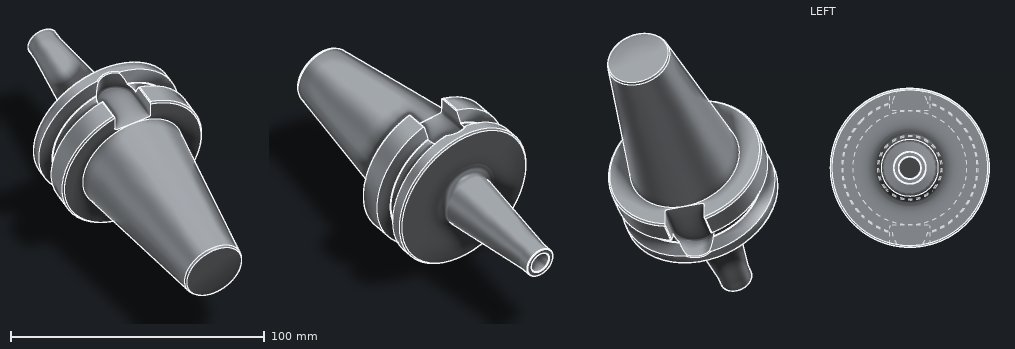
import cadquery as cq
import math

total_length = 142.4

nose_tip_diameter = 13.0
nose_tip_radius = nose_tip_diameter / 2
nose_base_radius = 11.2
nose_collar_length = 4.8
nose_chamfer = 0.3
neck_length = 1.0
root_fillet = 3.0
bore_radius = 4.3
bore_depth = 28.5
bore_chamfer = 0.3

root_pad_radius = 15.2
root_pad_height = 0.1

flange_radius = 31.5
flange_start = 50.0
flange_end = 75.0
front_chamfer = 0.7
rear_chamfer = 0.7
lip_end = 55.1
ridge_start = 65.4
groove_floor_radius = 26.5
groove_floor_width = 5.0

taper_ratio = 7 / 24
gauge_radius = 22.2
gauge_position = 77.0
shank_chamfer = 1.0

slot_width = 16.1
slot_floor_height = 22.6
slot_tip = 53.8
slot_floor_fillet = 1.0
slot_edge_chamfer = 0.4


def shank_radius(x):
    return gauge_radius - (x - gauge_position) * taper_ratio / 2


def make_body():
    pad_face = flange_start - root_pad_height
    fillet_start = pad_face - root_fillet
    fillet_center_radius = nose_base_radius + root_fillet
    fillet_mid = (
        fillet_start + root_fillet * math.sin(math.radians(45)),
        fillet_center_radius - root_fillet * math.cos(math.radians(45)),
    )
    groove_start = (lip_end + ridge_start - groove_floor_width) / 2
    groove_end = groove_start + groove_floor_width
    flank_drop = (groove_start - lip_end) / math.tan(math.radians(30))
    flank_radius = flange_radius - flank_drop
    shank_chamfer_start = total_length - shank_chamfer
    shank_end_radius = shank_radius(shank_chamfer_start)

    profile = (
        cq.Workplane("XY")
        .moveTo(0, 0)
        .lineTo(0, nose_tip_radius - nose_chamfer)
        .lineTo(nose_chamfer, nose_tip_radius)
        .lineTo(nose_collar_length, nose_tip_radius)
        .lineTo(fillet_start - neck_length, nose_base_radius)
        .lineTo(fillet_start, nose_base_radius)
        .threePointArc(fillet_mid, (pad_face, fillet_center_radius))
        .lineTo(flange_start, root_pad_radius)
        .lineTo(flange_start, flange_radius - front_chamfer)
        .lineTo(flange_start + front_chamfer, flange_radius)
        .lineTo(lip_end, flange_radius)
        .lineTo(groove_start, flank_radius)
        .lineTo(groove_start, groove_floor_radius)
        .lineTo(groove_end, groove_floor_radius)
        .lineTo(groove_end, flank_radius)
        .lineTo(ridge_start, flange_radius)
        .lineTo(flange_end - rear_chamfer, flange_radius)
        .lineTo(flange_end, flange_radius - rear_chamfer)
        .lineTo(flange_end, shank_radius(flange_end))
        .lineTo(shank_chamfer_start, shank_end_radius)
        .lineTo(total_length, shank_end_radius - shank_chamfer / 2)
        .lineTo(total_length, 0)
        .close()
    )
    return profile.revolve(360, (0, 0, 0), (1, 0, 0))


def make_bore():
    profile = (
        cq.Workplane("XY")
        .lineTo(0, bore_radius + bore_chamfer)
        .lineTo(bore_chamfer, bore_radius)
        .lineTo(bore_depth, bore_radius)
        .lineTo(bore_depth, 0)
        .close()
    )
    return profile.revolve(360, (0, 0, 0), (1, 0, 0))


def make_slot():
    """Round-ended cutter volume, open toward the shank and rounded at its floor."""
    radius = slot_width / 2
    center = slot_tip + radius
    height = flange_radius - slot_floor_height
    slot = (
        cq.Workplane("XY", origin=(0, 0, slot_floor_height))
        .moveTo(flange_end + slot_width, radius)
        .lineTo(center, radius)
        .threePointArc((slot_tip, 0), (center, -radius))
        .lineTo(flange_end + slot_width, -radius)
        .close()
        .extrude(height)
    )
    slot = slot.faces("<Z").edges("not >X").fillet(slot_floor_fillet)
    flange_space = cq.Workplane("XY").box(
        flange_end, slot_width, 2 * flange_radius, centered=(False, True, True)
    )
    return slot.intersect(flange_space)


def break_slot_edges(body):
    """Chamfer the edges where the slot walls meet the outside of the ridge and lip."""
    wall_y = slot_width / 2
    rim_height = math.sqrt(flange_radius**2 - wall_y**2)
    margin = 0.1
    for side in (1, -1):
        lower, upper = sorted((side * (rim_height - margin), side * (flange_radius + margin)))
        mouth = cq.selectors.BoxSelector(
            (slot_tip - margin, -wall_y - margin, lower),
            (flange_end - rear_chamfer - margin, wall_y + margin, upper),
        )
        along_slot = body.edges(mouth).filter(
            lambda edge: edge.BoundingBox().xlen > slot_edge_chamfer
        )
        body = along_slot.chamfer(slot_edge_chamfer)
    return body


slot = make_slot()
result = make_body().cut(make_bore())
result = result.cut(slot).cut(slot.rotate((0, 0, 0), (1, 0, 0), 180))
result = break_slot_edges(result)